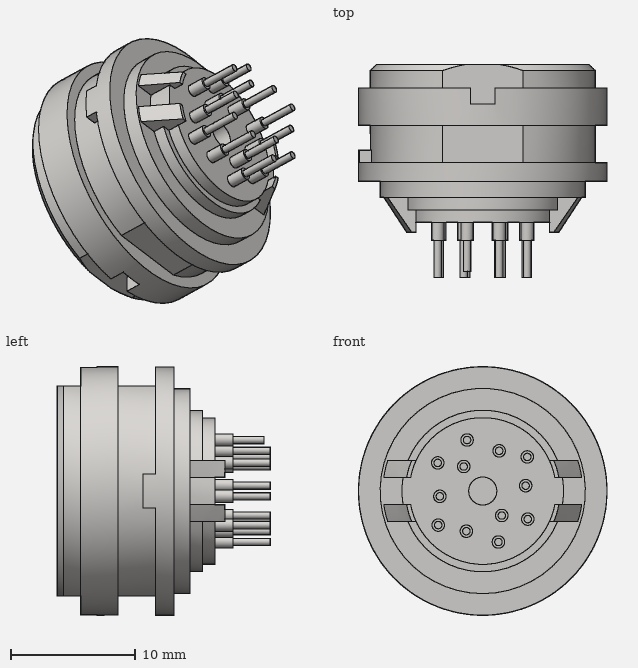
import cadquery as cq
import math


barrel_radius = 9.05
barrel_length = 7.9
barrel_flat_height = 8.45
barrel_chamfer_length = 0.5
barrel_chamfer_depth = 0.5

flange_radius = 10.0
flange_thickness = 1.5
key_height = 1.0
key_width = 2.76

nut_radius = flange_radius
nut_thickness = 3.0
nut_setback = 1.9
nut_slot_width = 2.0
nut_slot_length = 1.3

collar_radius = 8.25
collar_thickness = 1.3
insert_radius = 6.5
insert_thickness = 1.0
disc_radius = 5.9
disc_thickness = 1.0

latch_root_radius = 8.03
latch_tip_radius = 6.22
latch_length = 2.8
latch_inner_z = 1.1
latch_outer_z = 2.47

hub_hole_radius = 1.13
hub_hole_depth = 2.0
sleeve_radius = 0.5
sleeve_length = 1.45
pin_radius = 0.3
pin_length = 4.45
short_pin_length = 3.95

half_pattern = [
    (-1.26, 4.10),
    (1.32, 3.23),
    (3.58, 2.74),
    (-3.62, 2.26),
    (-1.53, 1.97),
    (3.45, 0.43),
]

flange_rear = -flange_thickness
collar_rear = flange_rear - collar_thickness
insert_rear = collar_rear - insert_thickness
disc_rear = insert_rear - disc_thickness
nut_front = barrel_length - nut_setback
nut_rear = nut_front - nut_thickness


def cylinder(radius, y_start, y_end, x=0.0, z=0.0):
    """Cylinder parallel to Y between two stations."""
    direction = cq.Vector(0, math.copysign(1, y_end - y_start), 0)
    solid = cq.Solid.makeCylinder(radius, abs(y_end - y_start), cq.Vector(x, y_start, z), direction)
    return cq.Workplane(solid)


def block(x_range, y_range, z_range):
    """Axis-aligned box given by its low and high limits."""
    corner = (x_range[0], y_range[0], z_range[0])
    size = [high - low for low, high in (x_range, y_range, z_range)]
    return cq.Workplane().box(*size, centered=False).translate(corner)


def make_barrel():
    """Barrel with a chamfered end and a flat on the top and on the bottom."""
    end_radius = barrel_radius - barrel_chamfer_depth
    barrel = (
        cq.Workplane("XY")
        .moveTo(0, 0)
        .lineTo(barrel_radius, 0)
        .lineTo(barrel_radius, barrel_length - barrel_chamfer_length)
        .lineTo(end_radius, barrel_length)
        .lineTo(0, barrel_length)
        .close()
        .revolve(360, (0, 0, 0), (0, 1, 0))
    )
    return barrel.intersect(block(
        (-barrel_radius, barrel_radius),
        (0, barrel_length),
        (-barrel_flat_height, barrel_flat_height),
    ))


def make_nut():
    """Ring nut, closed down to the barrel flats, with a spanner slot at the top and at the bottom."""
    nut = cylinder(nut_radius, nut_rear, nut_front)
    x_range = (-nut_slot_width / 2, nut_slot_width / 2)
    y_range = (nut_front - nut_slot_length, nut_front)
    top_slot = block(x_range, y_range, (barrel_flat_height, nut_radius))
    bottom_slot = block(x_range, y_range, (-nut_radius, -barrel_flat_height))
    return nut.cut(top_slot).cut(bottom_slot)


def make_key():
    """Locating key on the -X side of the flange, flush with its rim."""
    return cylinder(flange_radius, 0, key_height).intersect(block(
        (-flange_radius, 0), (0, key_height), (-key_width / 2, key_width / 2)
    ))


def make_insert_bridges():
    """Full-radius stretches of the insert between the latch fingers, level with the disc face."""
    return cylinder(insert_radius, collar_rear, disc_rear).intersect(block(
        (-insert_radius, insert_radius), (disc_rear, collar_rear), (-latch_inner_z, latch_inner_z)
    ))


def make_latches():
    """Four tapered latch fingers, mirrored about both symmetry planes."""
    latch_tip = collar_rear - latch_length
    ring = (
        cq.Workplane("XY")
        .moveTo(disc_radius, collar_rear)
        .lineTo(latch_root_radius, collar_rear)
        .lineTo(latch_tip_radius, latch_tip)
        .lineTo(disc_radius, latch_tip)
        .close()
        .revolve(360, (0, 0, 0), (0, 1, 0))
    )
    x_range = (-latch_root_radius, latch_root_radius)
    y_range = (latch_tip, collar_rear)
    upper = ring.intersect(block(x_range, y_range, (latch_inner_z, latch_outer_z)))
    lower = ring.intersect(block(x_range, y_range, (-latch_outer_z, -latch_inner_z)))
    return upper.union(lower)


def make_contact(x, z, length):
    """Solder pin in its sleeve, standing on the disc face."""
    sleeve = cylinder(sleeve_radius, disc_rear, disc_rear - sleeve_length, x, z)
    pin = cylinder(pin_radius, disc_rear, disc_rear - length, x, z)
    return sleeve.union(pin)


result = (
    make_barrel()
    .union(make_nut())
    .union(cylinder(flange_radius, 0, flange_rear))
    .union(make_key())
    .union(cylinder(collar_radius, flange_rear, collar_rear))
    .union(cylinder(insert_radius, collar_rear, insert_rear))
    .union(cylinder(disc_radius, insert_rear, disc_rear))
    .union(make_insert_bridges())
    .union(make_latches())
    .cut(cylinder(hub_hole_radius, disc_rear, disc_rear + hub_hole_depth))
)

for index, (x, z) in enumerate(half_pattern):
    first_length = short_pin_length if index == 0 else pin_length
    result = result.union(make_contact(x, z, first_length))
    result = result.union(make_contact(-x, -z, pin_length))